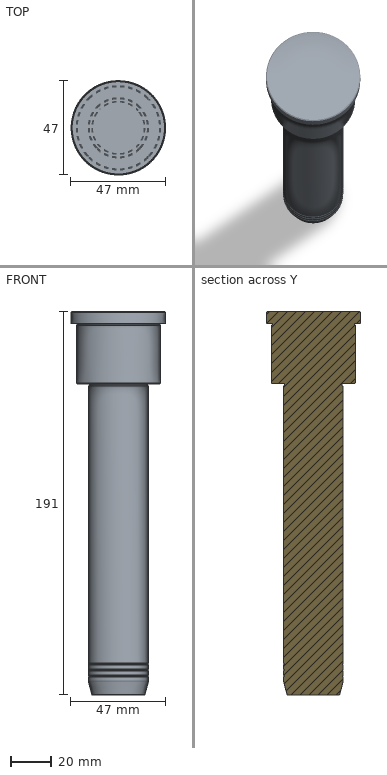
import cadquery as cq

total_length = 191.0
head_diameter = 47.0
head_height = 6.0
shoulder_diameter = 42.0
shoulder_length = 30.0
shank_diameter = 30.0

head_chamfer = 0.5
shoulder_bottom_chamfer = 0.5
shoulder_top_chamfer = 0.3
tip_chamfer = 0.3

relief_width = 1.0
relief_depth = 0.5

groove_count = 3
groove_pitch = 3.0
groove_width = 1.0
groove_depth = 0.5
lowest_groove_z = 9.5

lead_in_length = 7.0
tip_radius = 13.2

head_radius = head_diameter / 2
shoulder_radius = shoulder_diameter / 2
shank_radius = shank_diameter / 2
head_bottom_z = total_length - head_height
shoulder_bottom_z = head_bottom_z - shoulder_length


def cylinder(radius, bottom_z, top_z):
    """Solid cylinder on the Z axis."""
    return cq.Workplane("XY").workplane(offset=bottom_z).circle(radius).extrude(top_z - bottom_z)


def make_head():
    """Head disc with a chamfered top edge."""
    head = cylinder(head_radius, head_bottom_z, total_length)
    return head.faces(">Z").edges().chamfer(head_chamfer)


def make_shoulder():
    """Shoulder chamfered at both ends, joined to the head by a slightly thinner neck."""
    neck_bottom_z = head_bottom_z - relief_width + shoulder_top_chamfer
    shoulder = cylinder(shoulder_radius, shoulder_bottom_z, neck_bottom_z)
    shoulder = shoulder.faces("<Z").edges().chamfer(shoulder_bottom_chamfer)
    shoulder = shoulder.faces(">Z").edges().chamfer(shoulder_top_chamfer)
    neck = cylinder(shoulder_radius - relief_depth, neck_bottom_z, head_bottom_z)
    return shoulder.union(neck)


def make_oil_groove(center_z):
    """V-section ring to remove from the shank; the V is extended outward past the surface."""
    clear_radius = shank_radius + groove_depth
    return (
        cq.Workplane("XZ")
        .moveTo(shank_radius - groove_depth, center_z)
        .lineTo(clear_radius, center_z + groove_width)
        .lineTo(clear_radius, center_z - groove_width)
        .close()
        .revolve(360, (0, 0, 0), (0, 1, 0))
    )


def make_shank():
    """Shank with a chamfered tip, a tapered lead-in, oil grooves and a neck at the top."""
    neck_radius = shank_radius - relief_depth
    neck_bottom_z = shoulder_bottom_z - relief_width
    shank = (
        cq.Workplane("XZ")
        .lineTo(tip_radius - tip_chamfer, 0)
        .lineTo(tip_radius, tip_chamfer)
        .lineTo(shank_radius, lead_in_length)
        .lineTo(shank_radius, neck_bottom_z)
        .lineTo(neck_radius, neck_bottom_z)
        .lineTo(neck_radius, shoulder_bottom_z)
        .lineTo(0, shoulder_bottom_z)
        .close()
        .revolve(360, (0, 0, 0), (0, 1, 0))
    )
    for index in range(groove_count):
        shank = shank.cut(make_oil_groove(lowest_groove_z + index * groove_pitch))
    return shank


result = make_shank().union(make_shoulder()).union(make_head())